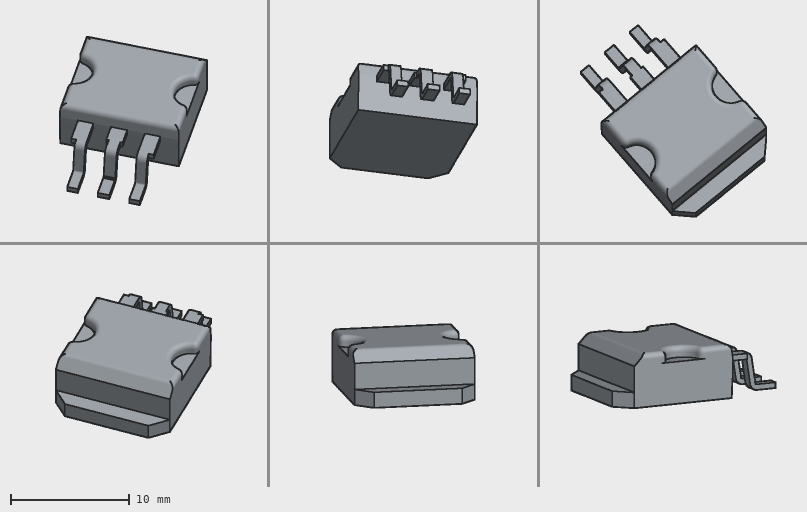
import cadquery as cq
import math


WIDTH = 10.4
HOUSING_LENGTH = 9.35
HEIGHT = 4.63
EDGE_RADIUS = 0.5
REAR_CHAMFER = 1.0
FRONT_TOP_SETBACK = 0.17
FRONT_BOTTOM_SETBACK = 0.1

NOTCH_RADIUS = 1.58
NOTCH_DEPTH = 0.98

TAB_LENGTH = 1.4
TAB_THICKNESS = 1.36

LEAD_THICKNESS = 0.5
LEAD_TOP = 3.35
LEAD_REACH = 5.1
BEND_START = 2.19
OUTER_RADIUS = 0.65
INNER_RADIUS = OUTER_RADIUS - LEAD_THICKNESS
BEND_ANGLE = 81.0

OUTER_FACETS = 5
INNER_FACETS = 2

SIDE_LEAD_INSIDE = 2.25
SIDE_LEAD_WIDTH = 0.93
SIDE_SHOULDER_WIDTH = 1.36
MIDDLE_LEAD_WIDTH = 1.02
MIDDLE_SHOULDER_WIDTH = 1.42
MIDDLE_SHOULDER_LENGTH = 1.51


def make_housing():
    """Moulded block with a chamfered rear, a tapered front, rounded top edges and two side notches."""
    lead_bottom = LEAD_TOP - LEAD_THICKNESS
    block = (
        cq.Workplane("YZ")
        .moveTo(FRONT_BOTTOM_SETBACK, 0)
        .lineTo(0, lead_bottom)
        .lineTo(0, LEAD_TOP)
        .lineTo(FRONT_TOP_SETBACK, HEIGHT)
        .lineTo(HOUSING_LENGTH - REAR_CHAMFER, HEIGHT)
        .lineTo(HOUSING_LENGTH, HEIGHT - REAR_CHAMFER)
        .lineTo(HOUSING_LENGTH, 0)
        .close()
        .extrude(WIDTH / 2, both=True)
    )
    notches = (
        cq.Workplane("XY", origin=(0, HOUSING_LENGTH / 2, HEIGHT - NOTCH_DEPTH))
        .pushPoints([(-WIDTH / 2, 0), (WIDTH / 2, 0)])
        .circle(NOTCH_RADIUS)
        .extrude(NOTCH_DEPTH)
    )
    block = block.cut(notches)

    notch_corners = cq.selectors.BoxSelector(
        (-WIDTH, HOUSING_LENGTH / 2 - NOTCH_RADIUS - EDGE_RADIUS, HEIGHT - NOTCH_DEPTH),
        (WIDTH, HOUSING_LENGTH / 2 + NOTCH_RADIUS + EDGE_RADIUS, HEIGHT),
    )
    block = block.edges("|Z").edges(notch_corners).fillet(EDGE_RADIUS)
    return block.faces(">Z").edges().fillet(EDGE_RADIUS)


def make_tab():
    """Mounting tab behind the housing, with both sides cut off at 45 degrees over its whole length."""
    rear_half_width = WIDTH / 2 - TAB_LENGTH
    rear = HOUSING_LENGTH + TAB_LENGTH
    return (
        cq.Workplane("XY")
        .moveTo(-WIDTH / 2, HOUSING_LENGTH)
        .lineTo(WIDTH / 2, HOUSING_LENGTH)
        .lineTo(rear_half_width, rear)
        .lineTo(-rear_half_width, rear)
        .close()
        .extrude(TAB_THICKNESS)
    )


def add_bend(outline, centre, radius, start, end, facets):
    """Draw to the start of a bend and round it, as one arc or, if facets is given, as flat facets."""

    def on_bend(fraction):
        angle = math.radians(start + (end - start) * fraction)
        return (centre[0] - radius * math.cos(angle), centre[1] + radius * math.sin(angle))

    outline = outline.lineTo(*on_bend(0))
    if facets is None:
        return outline.threePointArc(on_bend(0.5), on_bend(1))
    for step in range(1, facets + 1):
        outline = outline.lineTo(*on_bend(step / facets))
    return outline


def make_lead_strip(x_start, width, outer_facets=None, inner_facets=None):
    """Gull-wing strip: flat at the housing, steep slope down, flat foot on the seating plane."""
    slope = math.radians(90 - BEND_ANGLE)
    drop = LEAD_TOP - 2 * OUTER_RADIUS
    bend_spacing = (OUTER_RADIUS + INNER_RADIUS + drop * math.sin(slope)) / math.cos(slope)
    upper = (-BEND_START, LEAD_TOP - OUTER_RADIUS)
    lower = (-BEND_START - bend_spacing, OUTER_RADIUS)

    up = 90
    down = -90
    upper_end = up - BEND_ANGLE
    lower_start = down - BEND_ANGLE

    outline = cq.Workplane("YZ", origin=(x_start, 0, 0)).moveTo(0, LEAD_TOP)
    outline = add_bend(outline, upper, OUTER_RADIUS, up, upper_end, outer_facets)
    outline = add_bend(outline, lower, INNER_RADIUS, lower_start, down, inner_facets)
    outline = outline.lineTo(-LEAD_REACH, LEAD_THICKNESS).lineTo(-LEAD_REACH, 0)
    outline = add_bend(outline, lower, OUTER_RADIUS, down, lower_start, outer_facets)
    outline = add_bend(outline, upper, INNER_RADIUS, upper_end, up, inner_facets)
    return outline.lineTo(0, LEAD_TOP - LEAD_THICKNESS).close().extrude(width)


def make_shoulder(x_start, width, length):
    """Wide flat stretch of a lead next to the housing."""
    corner = (x_start, -length, LEAD_TOP - LEAD_THICKNESS)
    return cq.Workplane("XY", origin=corner).box(width, length, LEAD_THICKNESS, centered=False)


def make_package():
    """Housing in one piece with the mounting tab and the middle lead."""
    middle_lead = make_lead_strip(-MIDDLE_LEAD_WIDTH / 2, MIDDLE_LEAD_WIDTH, OUTER_FACETS, INNER_FACETS)
    shoulder = make_shoulder(-MIDDLE_SHOULDER_WIDTH / 2, MIDDLE_SHOULDER_WIDTH, MIDDLE_SHOULDER_LENGTH)
    return make_housing().union(make_tab()).union(middle_lead.union(shoulder))


def make_side_lead(side):
    """Outer lead on the +X (side = 1) or -X (side = -1) side, wider on its outer edge near the housing."""
    lead = make_lead_strip(SIDE_LEAD_INSIDE, SIDE_LEAD_WIDTH)
    lead = lead.union(make_shoulder(SIDE_LEAD_INSIDE, SIDE_SHOULDER_WIDTH, BEND_START))
    if side < 0:
        lead = lead.mirror("YZ")
    return lead


package = make_package().solids()
side_leads = [make_side_lead(side).solids() for side in (-1, 1)]

result = cq.Compound.makeCompound([package.val(), *[lead.val() for lead in side_leads]])